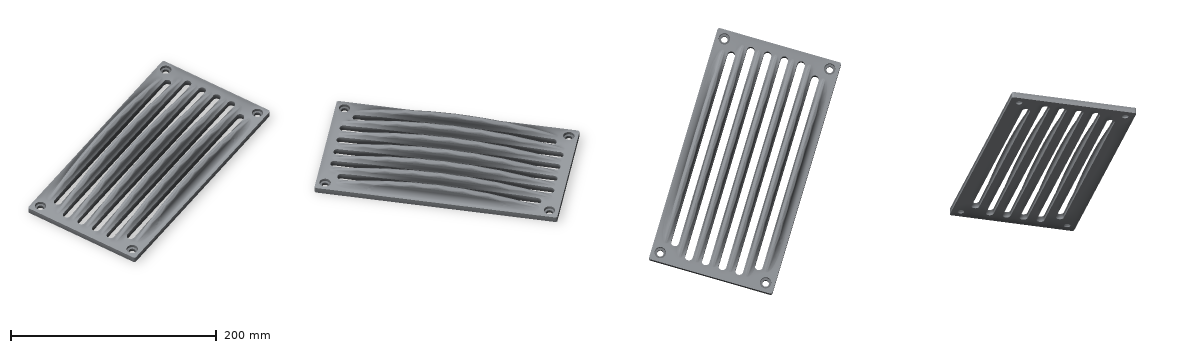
import cadquery as cq

plate_width = 125.0
plate_length = 240
plate_thickness = 6.0
corner_radius = 2.0

ribs_each_side = 3
rib_field_width = 102.0
rib_pitch = rib_field_width / (2 * ribs_each_side)
rib_width = 6.0
rib_height = 12
crest_radius = 2.6
root_radius = 4.8
inner_half_length = 110.0
outer_half_length = 100.0

slot_width = 7.7
slot_overrun = 0.7

hole_inset = 9.0
hole_diameter = 6.5
counterbore_diameter = 11.0
counterbore_depth = 3.0


def make_plate():
    plate = cq.Workplane("XY").box(plate_width, plate_length, plate_thickness, centered=(True, True, False))
    return plate.edges("|Z").fillet(corner_radius)


def make_rib(half_length):
    """Arched bar, rounded along its crest and blended into a strip of plate below it."""
    bar = (
        cq.Workplane("YZ", origin=(-rib_width / 2, 0, plate_thickness))
        .moveTo(-half_length, 0)
        .threePointArc((0, rib_height), (half_length, 0))
        .close()
        .extrude(rib_width)
        .edges("%CIRCLE")
        .fillet(crest_radius)
    )
    strip_length = 2 * (half_length + root_radius)
    strip = cq.Workplane("XY").box(rib_pitch, strip_length, plate_thickness, centered=(True, True, False))

    margin = 0.2
    half_span = rib_width / 2 + margin
    root_edges = cq.selectors.BoxSelector(
        (-half_span, -half_length - margin, plate_thickness - margin),
        (half_span, half_length + margin, plate_thickness + margin),
        boundingbox=True,
    )
    return strip.union(bar).edges(root_edges).fillet(root_radius)


def make_slot(position):
    """Round-ended cutter through the plate, trimming the root fillets beside it."""
    beside_outer_rib = abs(position) > ribs_each_side - 1
    rib_half_length = outer_half_length if beside_outer_rib else inner_half_length
    length = 2 * (rib_half_length + slot_overrun)
    return (
        cq.Workplane("XY")
        .center(position * rib_pitch, 0)
        .slot2D(length, slot_width, angle=90)
        .extrude(plate_thickness + rib_height)
    )


def drill_mounting_holes(body):
    return (
        body.copyWorkplane(cq.Workplane("XY", origin=(0, 0, plate_thickness)))
        .rect(plate_width - 2 * hole_inset, plate_length - 2 * hole_inset, forConstruction=True)
        .vertices()
        .cboreHole(hole_diameter, counterbore_diameter, counterbore_depth)
    )


inner_rib = make_rib(inner_half_length)
outer_rib = make_rib(outer_half_length)

result = make_plate()
for rib_position in range(-ribs_each_side, ribs_each_side + 1):
    rib = outer_rib if abs(rib_position) == ribs_each_side else inner_rib
    result = result.union(rib.translate((rib_position * rib_pitch, 0, 0)))

half_step = 0.5
for rib_position in range(-ribs_each_side, ribs_each_side):
    result = result.cut(make_slot(rib_position + half_step))

result = drill_mounting_holes(result)